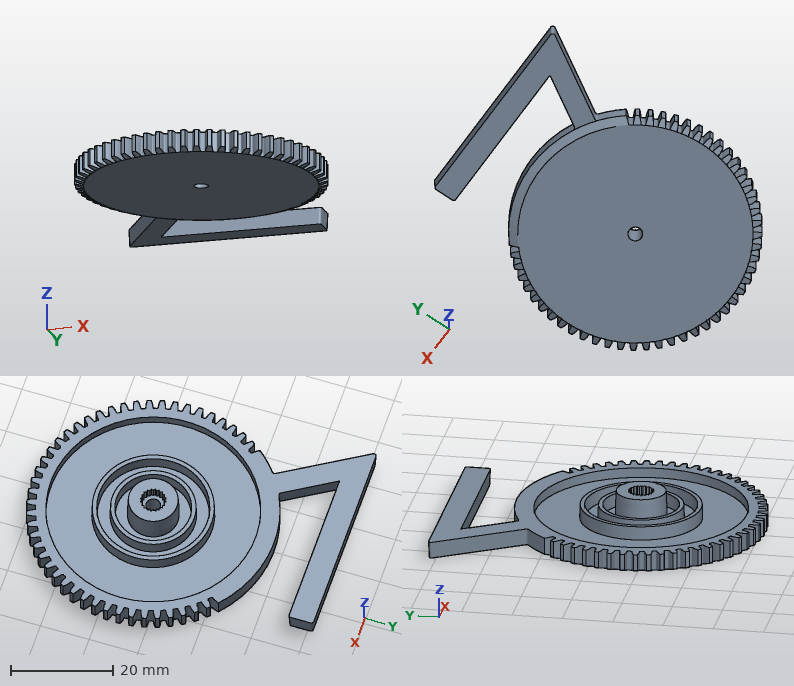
import cadquery as cq
import math

overall_length = 62.5
pitch_radius = 24.0
tooth_count = 60
module = 2 * pitch_radius / tooth_count
dedendum_factor = 1.25
tip_radius = pitch_radius + module
root_radius = pitch_radius - dedendum_factor * module
tooth_pitch = 360 / tooth_count
pressure_angle = math.radians(14.5)
root_fillet = 0.2
gap_overshoot = 0.3
gap_count = 45
first_gap_angle = 142.8
gear_height = 4.0
web_height = 2.0
pocket_radius = 21.0
rim_chamfer_height = 0.6

ring_top = 4.75
ring_draft = 2.0
ring_radii = ((11.95, 11.05), (8.4, 7.5))

hub_height = 7.6
hub_radius = 5.05
hub_taper_start = 3.95
hub_collar_height = 6.6
hub_collar_radius = 4.95
hub_top_radius = 4.9

spline_count = 20
spline_outer_radius = 2.5
spline_inner_radius = 2.2
spline_depth = 2.05
bore_radius = 1.45

arm_bottom = 0.6
arm_height = gear_height - arm_bottom
arm_draft = 2.0
arm_top = overall_length - tip_radius
arm_bar_width = 5.05
arm_end = 15.05
arm_apex = -25.75
arm_slope = math.radians(58.8)
arm_leg_width = 4.55
arm_corner_fillet = 0.5
leg_root_y = 15.6
arm_root_box = ((-16.9, 18.1, 1.9), (-9.4, 23.75, 2.8))


def polar(radius, angle):
    return (radius * math.cos(angle), radius * math.sin(angle))


def involute(angle):
    return math.tan(angle) - angle


def half_gap_angle(radius):
    """Half the angle of a tooth gap at the given radius: involute flanks, radial below the base circle."""
    base_radius = pitch_radius * math.cos(pressure_angle)
    local_pressure = math.acos(base_radius / max(radius, base_radius))
    return math.pi / (2 * tooth_count) + involute(local_pressure) - involute(pressure_angle)


def tooth_gap():
    """Cutter for one tooth gap, centred on +X."""
    outside_radius = tip_radius + gap_overshoot
    root, middle, outside = [
        polar(radius, half_gap_angle(radius)) for radius in (root_radius, pitch_radius, outside_radius)
    ]
    return (
        cq.Workplane("XY")
        .moveTo(root[0], -root[1])
        .threePointArc((middle[0], -middle[1]), (outside[0], -outside[1]))
        .lineTo(*outside)
        .threePointArc(middle, root)
        .close()
        .extrude(gear_height)
        .edges("|Z and <X")
        .fillet(root_fillet)
    )


def gear_disc():
    return (
        cq.Workplane("XZ")
        .moveTo(0, 0)
        .lineTo(root_radius, 0)
        .lineTo(tip_radius, rim_chamfer_height)
        .lineTo(tip_radius, gear_height)
        .lineTo(pocket_radius, gear_height)
        .lineTo(pocket_radius, web_height)
        .lineTo(0, web_height)
        .close()
        .revolve(360, (0, 0, 0), (0, 1, 0))
    )


def cut_teeth(disc):
    gap = tooth_gap()
    gaps = cq.Workplane("XY")
    for index in range(gap_count):
        turn = first_gap_angle + index * tooth_pitch
        gaps.add(gap.rotate((0, 0, 0), (0, 0, 1), turn))
    return disc.cut(cq.Workplane(cq.Compound.makeCompound(gaps.vals())))


def ring_wall(outer_radius, inner_radius):
    """Ring wall that widens by its draft from the top down to the web."""
    spread = (ring_top - web_height) * math.tan(math.radians(ring_draft))
    return (
        cq.Workplane("XZ")
        .moveTo(inner_radius, ring_top)
        .lineTo(outer_radius, ring_top)
        .lineTo(outer_radius + spread, web_height)
        .lineTo(inner_radius - spread, web_height)
        .close()
        .revolve(360, (0, 0, 0), (0, 1, 0))
    )


def hub():
    return (
        cq.Workplane("XZ")
        .moveTo(0, 0)
        .lineTo(hub_radius, 0)
        .lineTo(hub_radius, hub_taper_start)
        .lineTo(hub_collar_radius, hub_collar_height)
        .lineTo(hub_top_radius, hub_height)
        .lineTo(0, hub_height)
        .close()
        .revolve(360, (0, 0, 0), (0, 1, 0))
    )


def spline_socket():
    points = []
    for index in range(2 * spline_count):
        radius = spline_outer_radius if index % 2 else spline_inner_radius
        points.append(polar(radius, math.pi * index / spline_count))
    return (
        cq.Workplane("XY")
        .workplane(offset=hub_height - spline_depth)
        .polyline(points)
        .close()
        .extrude(spline_depth)
    )


def arm():
    """Drafted arm with rounded corners, kept out of the dished pocket."""
    bar_bottom = arm_top - arm_bar_width
    leg_span = arm_leg_width / math.sin(arm_slope)

    pocket = (
        cq.Workplane("XY")
        .workplane(offset=web_height)
        .circle(pocket_radius)
        .extrude(gear_height - web_height)
    )

    def leg_x(y):
        """X of the outer side of the leg at the given Y."""
        return arm_apex + (arm_top - y) / math.tan(arm_slope)

    outline = [
        (arm_apex, arm_top),
        (arm_end, arm_top),
        (arm_end, bar_bottom),
        (leg_x(bar_bottom) + leg_span, bar_bottom),
        (leg_x(leg_root_y) + leg_span, leg_root_y),
        (leg_x(leg_root_y), leg_root_y),
    ]
    return (
        cq.Workplane("XY")
        .workplane(offset=gear_height)
        .polyline(outline)
        .close()
        .extrude(-arm_height, taper=arm_draft)
        .edges("not(<Z or >Z)")
        .fillet(arm_corner_fillet)
        .cut(pocket)
    )


def round_arm_root(body):
    return body.edges(cq.selectors.BoxSelector(*arm_root_box)).fillet(arm_corner_fillet)


result = cut_teeth(gear_disc()).union(arm())
result = round_arm_root(result)
for outer_radius, inner_radius in ring_radii:
    result = result.union(ring_wall(outer_radius, inner_radius))
result = result.union(hub()).cut(spline_socket())
result = result.cut(cq.Workplane("XY").circle(bore_radius).extrude(hub_height))